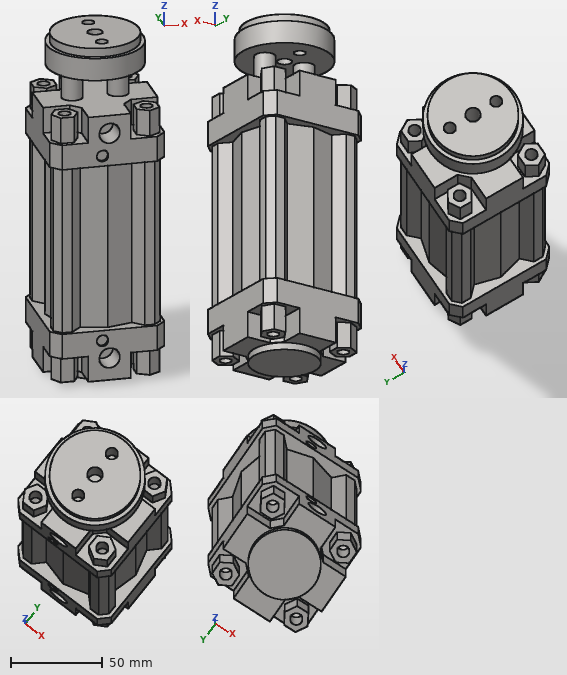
import cadquery as cq
import math


body_length = 156.0

cap_size = 65.0
cap_height = 29.5
cap_chamfer = 5.5
cap_cross_width = 24.0
pocket_depth = 15.0
pocket_inner_chamfer = 5.5

nut_spacing = 46.5
nut_across_flats = 13.0
nut_hole_diameter = 6.75
nut_hole_depth = 15.0
drill_point_angle = 118.0

tube_size = 60.5
tube_corner_chamfer = 4.0
tube_post_edge = 20.5
tube_flank_offset = 5.8
tube_ridge = 28.4

rear_boss_diameter = 40.0
rear_boss_height = 4.0

port_diameter = 11.6
port_depth = 15.0
rear_port_from_face = 13.0
front_port_from_face = 10.5

screw_hole_diameter = 6.5
screw_hole_depth = 1.5
screw_hole_x = -4.0
screw_hole_from_face = 23.5

rod_diameter = 12.0
rod_spacing = 26.0
rod_length = 19.0

plate_diameter = 55.0
plate_height = 13.0
plate_step_diameter = 50.0
plate_step_height = 5.0
plate_center_hole_diameter = 8.38
plate_side_hole_diameter = 6.65
plate_side_hole_spacing = 30.0


def corner_pocket():
    """Cutter for the pocket in the +X +Y corner of the front cap, from its floor upward."""
    inner = cap_cross_width / 2
    outer = cap_size / 2
    return (
        cq.Workplane("XY")
        .workplane(offset=body_length - pocket_depth)
        .moveTo(outer, inner)
        .lineTo(inner + pocket_inner_chamfer, inner)
        .lineTo(inner, inner + pocket_inner_chamfer)
        .lineTo(inner, outer)
        .lineTo(outer, outer)
        .close()
        .extrude(pocket_depth)
    )


def corner_nut():
    """Hexagonal tie-rod nut standing on the pocket floor in the +X +Y corner."""
    corner = nut_spacing / 2
    hexagon_diameter = nut_across_flats / math.cos(math.pi / 6)
    return (
        cq.Workplane("XY")
        .workplane(offset=body_length - pocket_depth)
        .center(corner, corner)
        .polygon(6, hexagon_diameter)
        .extrude(pocket_depth)
    )


def nut_hole():
    """Cutter for the drilled hole in the +X +Y nut, with a conical drill point."""
    corner = nut_spacing / 2
    radius = nut_hole_diameter / 2
    point_height = radius / math.tan(math.radians(drill_point_angle / 2))
    return (
        cq.Workplane("XZ")
        .moveTo(0, 0)
        .lineTo(radius, 0)
        .lineTo(radius, -nut_hole_depth)
        .lineTo(0, -nut_hole_depth - point_height)
        .close()
        .revolve(360, (0, 0, 0), (0, 1, 0))
        .translate((corner, corner, body_length))
    )


def make_end_cap():
    """Cap at the front end: chamfered square with four corner pockets, each holding a nut."""
    cap = (
        cq.Workplane("XY")
        .workplane(offset=body_length - cap_height)
        .rect(cap_size, cap_size)
        .extrude(cap_height)
        .edges("|Z")
        .chamfer(cap_chamfer)
    )
    for quarter in range(4):
        angle = 90 * quarter
        cap = cap.cut(corner_pocket().rotate((0, 0, 0), (0, 0, 1), angle))
        cap = cap.union(corner_nut().rotate((0, 0, 0), (0, 0, 1), angle))
        cap = cap.cut(nut_hole().rotate((0, 0, 0), (0, 0, 1), angle))
    return cap


def make_tube():
    """Tube with a chamfered post at each corner and a low ridge along each side."""
    half = tube_size / 2
    quarter_outline = [
        (tube_ridge, 0),
        (half - tube_flank_offset, tube_post_edge - tube_flank_offset),
        (half, tube_post_edge),
        (half, half - tube_corner_chamfer),
        (half - tube_corner_chamfer, half),
        (tube_post_edge, half),
        (tube_post_edge - tube_flank_offset, half - tube_flank_offset),
    ]
    outline = []
    for quarter in range(4):
        for x, y in quarter_outline:
            outline.append((x, y))
        quarter_outline = [(-y, x) for x, y in quarter_outline]
    return (
        cq.Workplane("XY")
        .workplane(offset=cap_height)
        .polyline(outline)
        .close()
        .extrude(body_length - 2 * cap_height)
    )


def side_hole(x, z, diameter, depth):
    """Cutter for a blind hole going in from the -Y side of a cap."""
    return (
        cq.Workplane("XZ", origin=(x, -cap_size / 2, z))
        .circle(diameter / 2)
        .extrude(-depth)
    )


def make_cylinder_body():
    front_cap = make_end_cap()
    rear_cap = front_cap.mirror("XY", (0, 0, body_length / 2))
    rear_boss = cq.Workplane("XY").circle(rear_boss_diameter / 2).extrude(-rear_boss_height)
    body = make_tube().union(front_cap).union(rear_cap).union(rear_boss)
    for port_z in (rear_port_from_face, body_length - front_port_from_face):
        body = body.cut(side_hole(0, port_z, port_diameter, port_depth))
    for screw_z in (screw_hole_from_face, body_length - screw_hole_from_face):
        body = body.cut(side_hole(screw_hole_x, screw_z, screw_hole_diameter, screw_hole_depth))
    return body


def make_tool_plate():
    plate_bottom = body_length + rod_length
    rods = (
        cq.Workplane("XY")
        .workplane(offset=body_length)
        .pushPoints([(-rod_spacing / 2, 0), (rod_spacing / 2, 0)])
        .circle(rod_diameter / 2)
        .extrude(rod_length)
    )
    disc = (
        cq.Workplane("XY")
        .workplane(offset=plate_bottom)
        .circle(plate_diameter / 2)
        .extrude(plate_height)
        .faces(">Z")
        .workplane()
        .circle(plate_step_diameter / 2)
        .extrude(plate_step_height)
        .faces(">Z")
        .workplane()
        .hole(plate_center_hole_diameter)
        .faces(">Z")
        .workplane()
        .pushPoints([(0, -plate_side_hole_spacing / 2), (0, plate_side_hole_spacing / 2)])
        .hole(plate_side_hole_diameter)
    )
    return disc.union(rods)


cylinder_body = make_cylinder_body()
tool_plate = make_tool_plate()

result = cq.Compound.makeCompound([cylinder_body.val(), tool_plate.val()])